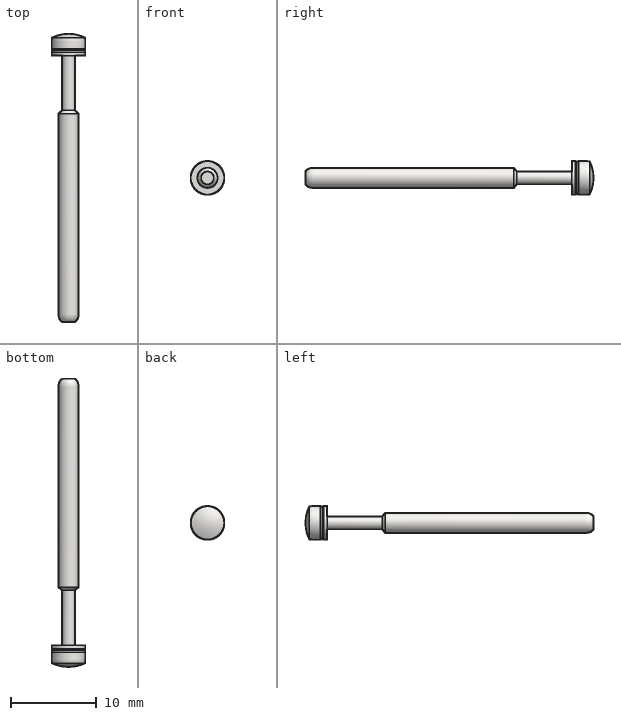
import cadquery as cq
import math

total_length = 33.6

head_radius = 1.98
head_length = 2.55
dome_height = 0.46
dome_edge_radius = 1.93
head_taper_length = 0.38

groove_depth = 0.1
groove_width = 0.4
flange_thickness = 0.4

stem_radius = 0.76
body_radius = 1.18
body_length = 24.65
body_taper_length = 0.35

tip_flat_radius = 0.75
tip_round_length = 0.83

head_underside = total_length - head_length
dome_base = total_length - dome_height
head_taper_base = dome_base - head_taper_length
groove_bottom = head_underside + flange_thickness
groove_top = groove_bottom + groove_width
groove_middle = (groove_bottom + groove_top) / 2


def dome_midpoint():
    """Point halfway in radius on the spherical cap of the head."""
    sphere_radius = (dome_edge_radius**2 + dome_height**2) / (2 * dome_height)
    sphere_center = total_length - sphere_radius
    radius = dome_edge_radius / 2
    return radius, sphere_center + math.sqrt(sphere_radius**2 - radius**2)


def tip_midpoint():
    """Point on the tip arc, which leaves the body tangentially and curves in to the flat."""
    drop = body_radius - tip_flat_radius
    arc_radius = (drop**2 + tip_round_length**2) / (2 * drop)
    half_length = tip_round_length / 2
    return body_radius - arc_radius + math.sqrt(arc_radius**2 - half_length**2), half_length


def make_pin():
    """Revolve the half profile, drawn as (radius, station), about the Y axis."""
    return (
        cq.Workplane("XY")
        .moveTo(0, 0)
        .lineTo(tip_flat_radius, 0)
        .threePointArc(tip_midpoint(), (body_radius, tip_round_length))
        .lineTo(body_radius, body_length - body_taper_length)
        .lineTo(stem_radius, body_length)
        .lineTo(stem_radius, head_underside)
        .lineTo(head_radius, head_underside)
        .lineTo(head_radius, groove_bottom)
        .lineTo(head_radius - groove_depth, groove_middle)
        .lineTo(head_radius, groove_top)
        .lineTo(head_radius, head_taper_base)
        .lineTo(dome_edge_radius, dome_base)
        .threePointArc(dome_midpoint(), (0, total_length))
        .close()
        .revolve(360, (0, 0, 0), (0, 1, 0))
    )


result = make_pin()